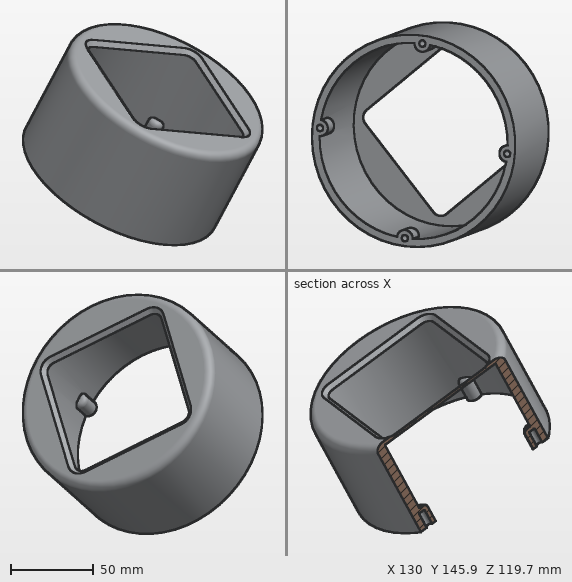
import cadquery as cq

outer_diameter = 130.0
bore_diameter = 120.0
height = 70.0
tilt_angle = 27.0
wall = (outer_diameter - bore_diameter) / 2
rim_radius = wall
top_thickness = 3.0

window_side = 80.0
window_corner_radius = 6.0
window_bevel_angle = 45

post_spacing = 84.9
post_diameter = 10.0
post_length = 15.0
post_end_radius = 3.0
screw_hole_diameter = 4.0
screw_hole_depth = 11.7


def make_cup():
    body = cq.Workplane("XY").circle(outer_diameter / 2).extrude(height)
    body = body.faces(">Z").edges().fillet(rim_radius)
    bore = cq.Workplane("XY").circle(bore_diameter / 2).extrude(height - top_thickness)
    return body.cut(bore)


def make_window():
    """Opening that widens toward the top face."""
    return (
        cq.Workplane("XY", origin=(0, 0, height - top_thickness))
        .sketch()
        .rect(window_side, window_side)
        .vertices()
        .fillet(window_corner_radius)
        .finalize()
        .extrude(top_thickness, taper=-window_bevel_angle)
    )


def at_posts(diameter, length):
    return (
        cq.Workplane("XY")
        .rect(post_spacing, post_spacing, forConstruction=True)
        .vertices()
        .circle(diameter / 2)
        .extrude(length)
    )


def make_posts():
    posts = at_posts(post_diameter, post_length).faces(">Z").edges().fillet(post_end_radius)
    envelope = cq.Workplane("XY").circle((bore_diameter + wall) / 2).extrude(post_length)
    return posts.intersect(envelope)


result = make_cup().cut(make_window()).union(make_posts())
result = result.cut(at_posts(screw_hole_diameter, screw_hole_depth))
result = result.rotate((0, 0, 0), (1, 0, 0), -tilt_angle)